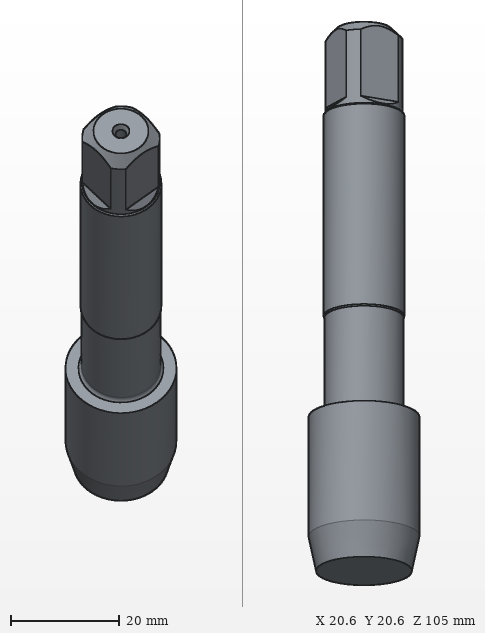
import cadquery as cq
import math

head_diameter = 20.6
head_length = 29.8
lead_length = 6.7
lead_tip_diameter = 17.7

total_length = 105.0
neck_diameter = 14.7
shank_diameter = 15.0
neck_top = 49.1
step_bevel_height = 0.3
neck_flare_width = 0.5
neck_flare_height = 0.9
shank_top = 88.6

drive_corner_diameter = 14.4
drive_across_flats = 12.0
drive_top_diameter = 10.2
flat_bottom = 90.0

center_hole_diameter = 2.0
center_hole_depth = 4.2
countersink_diameter = 3.2
drill_point_half_angle = 60.0
countersink_half_angle = 30.0


def revolve_profile(points):
    """Revolve (radius, z) points about the Z axis."""
    return cq.Workplane("XZ").polyline(points).close().revolve(360, (0, 0), (0, 1))


def make_head():
    return revolve_profile([
        (0, 0),
        (lead_tip_diameter / 2, 0),
        (head_diameter / 2, lead_length),
        (head_diameter / 2, head_length),
        (0, head_length),
    ])


def make_shank_blank():
    """Round shank with its concave flare, diameter step and beveled drive end."""
    neck_radius = neck_diameter / 2
    shank_radius = shank_diameter / 2
    corner_radius = drive_corner_diameter / 2
    top_radius = drive_top_diameter / 2
    flare_base = (neck_radius + neck_flare_width, head_length)
    flare_top = (neck_radius, head_length + neck_flare_height)
    return (
        cq.Workplane("XZ")
        .moveTo(0, total_length)
        .lineTo(top_radius, total_length)
        .lineTo(corner_radius, total_length - (corner_radius - top_radius))
        .lineTo(corner_radius, shank_top)
        .lineTo(shank_radius, shank_top - (shank_radius - corner_radius))
        .lineTo(shank_radius, neck_top + step_bevel_height)
        .lineTo(neck_radius, neck_top)
        .lineTo(*flare_top)
        .tangentArcPoint(flare_base, relative=False)
        .lineTo(0, head_length)
        .close()
        .revolve(360, (0, 0), (0, 1))
    )


def make_flat_cutter():
    """Cutter for the +X flat, with a 45 degree run-out at its lower end."""
    flat_offset = drive_across_flats / 2
    reach = shank_diameter
    return (
        cq.Workplane("XZ")
        .polyline([
            (flat_offset, total_length),
            (flat_offset, flat_bottom),
            (flat_offset + reach, flat_bottom - reach),
            (flat_offset + reach, total_length),
        ])
        .close()
        .extrude(shank_diameter, both=True)
    )


def make_center_hole():
    """Countersunk blind hole with a conical drill point."""
    hole_radius = center_hole_diameter / 2
    sink_radius = countersink_diameter / 2
    sink_depth = (sink_radius - hole_radius) / math.tan(math.radians(countersink_half_angle))
    point_depth = hole_radius / math.tan(math.radians(drill_point_half_angle))
    hole_bottom = total_length - center_hole_depth
    return revolve_profile([
        (0, total_length),
        (sink_radius, total_length),
        (hole_radius, total_length - sink_depth),
        (hole_radius, hole_bottom),
        (0, hole_bottom - point_depth),
    ])


def make_shank():
    shank = make_shank_blank()
    flat_cutter = make_flat_cutter()
    for angle in (0, 90, 180, 270):
        shank = shank.cut(flat_cutter.rotate((0, 0, 0), (0, 0, 1), angle))
    return shank.cut(make_center_hole())


head = make_head()
shank = make_shank()

result = cq.Compound.makeCompound([head.val(), shank.val()])